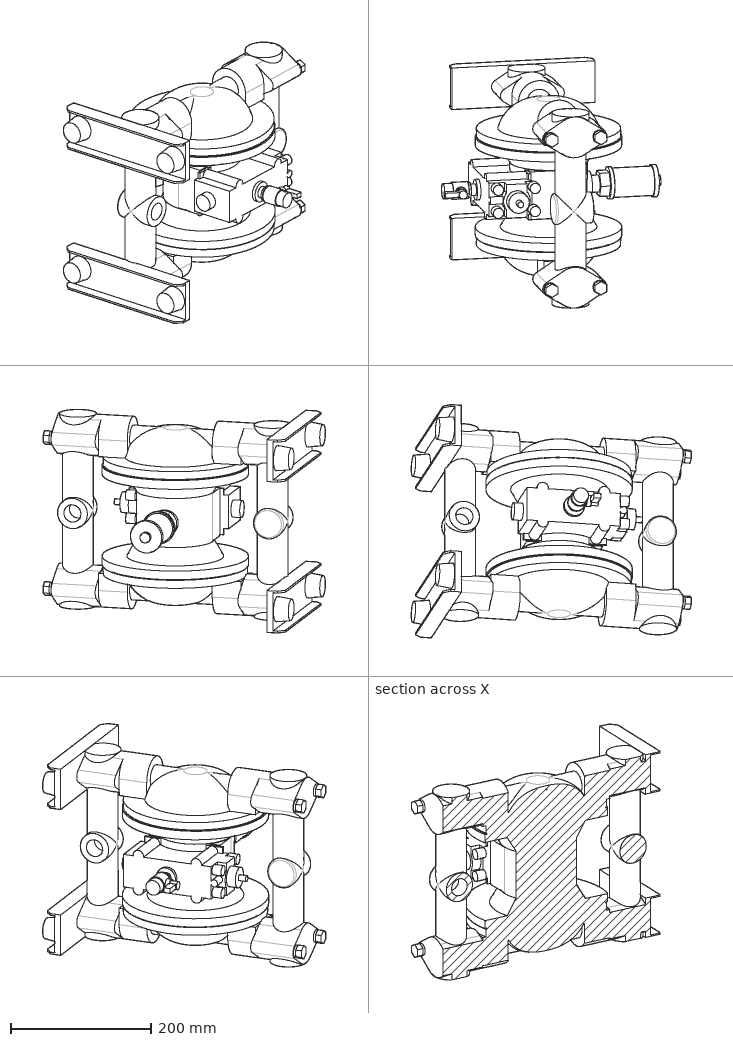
import cadquery as cq
import math



def rod_x(x_start, x_end, radius, y=0.0, z=0.0):
    """Cylinder along X between two stations."""
    return cq.Workplane("YZ", origin=(x_start, y, z)).circle(radius).extrude(x_end - x_start)


def rod_y(y_start, y_end, radius, x=0.0, z=0.0):
    """Cylinder along Y between two stations."""
    return cq.Workplane("XZ", origin=(x, y_start, z)).circle(radius).extrude(y_start - y_end)


def rod_z(z_start, z_end, radius, x=0.0, y=0.0):
    """Cylinder along Z between two stations."""
    return cq.Workplane("XY", origin=(x, y, z_start)).circle(radius).extrude(z_end - z_start)


def block(x_range, y_range, z_range):
    """Axis-aligned box from its three (low, high) ranges."""
    lows, highs = zip(x_range, y_range, z_range)
    sizes = [high - low for low, high in zip(lows, highs)]
    return cq.Workplane("XY").box(*sizes, centered=False).translate(lows)


def mirrored_z(shape):
    return shape.union(shape.mirror("XY"))


BARREL_RADIUS = 55.3
BARREL_HALF_HEIGHT = 35.7
CONE_RADIUS = 69.0
INNER_FLANGE_RADIUS = 104.5
INNER_FLANGE_BOTTOM = 59.6
INNER_FLANGE_TOP = 72.4
GROOVE_WIDTH = 1.0
GROOVE_RADIUS = 101.5
OUTER_FLANGE_RADIUS = 103.0
OUTER_FLANGE_TOP = 85.0
DOME_RADIUS = 72.3
DOME_FLAT_RADIUS = 16.6
DOME_TOP = 127.2

PORT_AXIS_Z = 110.0
MANIFOLD_Y = 144.0
RISER_RADIUS = 22.1
CAP_RADIUS = 26.5
FEED_PIPE_RADIUS = 17.15
ELBOW_RADIUS = 29.8
CAP_TOP = 140.0
ELBOW_INNER_Y = 62.8
HOUSING_INNER_Y = 105.6
HOUSING_OUTER_Y = 171.2
EAR_RADIUS = 10.8
EAR_X = 35.8

PORT_OPEN_LENGTH = 29.4
PORT_PLUG_LENGTH = 25.1
PLUG_FILLET = 2.4
PORT_BORE_RADIUS = 12.5

WASHER_RADIUS = 9.0
WASHER_THICKNESS = 3.2
BOLT_ACROSS_CORNERS = 20.0
BOLT_END_Y = 183.3

CHANNEL_HALF_LENGTH = 104.5
CHANNEL_TOP = 140.5
CHANNEL_WALL = 2.8
CHANNEL_BACK_Y = -164.1
CHANNEL_WEB = 9.3
CHANNEL_EDGE_Y = -189.0
CORNER_CUT_X = 9.5
CORNER_CUT_Y = 9.0
FOOT_X = 84.2
FOOT_BASE_RADIUS = 18.1
FOOT_TIP_RADIUS = 15.4
FOOT_TIP_Y = -194.5

MOUNT_X = 39.2
MOUNT_HALF_HEIGHT = 35.0
VALVE_PLATE_X = 43.0
VALVE_PLATE_HALF_WIDTH = 60.4
VALVE_PLATE_HALF_HEIGHT = 33.6
VALVE_END_X = 102.0
VALVE_HALF_LENGTH = 67.9
VALVE_HALF_HEIGHT = 24.5
SCREW_BARREL_RADIUS = 8.0
SCREW_BARREL_Y = 44.9
SPOOL_X = 64.4
END_CAP_Y = 82.0


def pump_body():
    groove_top = INNER_FLANGE_TOP + GROOVE_WIDTH
    run = DOME_RADIUS - DOME_FLAT_RADIUS
    rise = DOME_TOP - OUTER_FLANGE_TOP
    arc_radius = (run**2 + rise**2) / (2 * rise)
    arc_center_z = DOME_TOP - arc_radius
    half_angle = math.atan2(run, OUTER_FLANGE_TOP - arc_center_z) / 2
    arc_middle = (
        DOME_FLAT_RADIUS + arc_radius * math.sin(half_angle),
        arc_center_z + arc_radius * math.cos(half_angle),
    )
    chamber = (
        cq.Workplane("XZ")
        .moveTo(0, BARREL_HALF_HEIGHT)
        .lineTo(BARREL_RADIUS, BARREL_HALF_HEIGHT)
        .lineTo(CONE_RADIUS, INNER_FLANGE_BOTTOM)
        .lineTo(INNER_FLANGE_RADIUS, INNER_FLANGE_BOTTOM)
        .lineTo(INNER_FLANGE_RADIUS, INNER_FLANGE_TOP)
        .lineTo(GROOVE_RADIUS, INNER_FLANGE_TOP)
        .lineTo(GROOVE_RADIUS, groove_top)
        .lineTo(OUTER_FLANGE_RADIUS, groove_top)
        .lineTo(OUTER_FLANGE_RADIUS, OUTER_FLANGE_TOP)
        .lineTo(DOME_RADIUS, OUTER_FLANGE_TOP)
        .threePointArc(arc_middle, (DOME_FLAT_RADIUS, DOME_TOP))
        .lineTo(0, DOME_TOP)
        .close()
        .revolve(360, (0, 0, 0), (0, 1, 0))
    )
    barrel = rod_z(-BARREL_HALF_HEIGHT, BARREL_HALF_HEIGHT, BARREL_RADIUS)
    return barrel.union(chamber).union(chamber.mirror("XY"))


def ball_housing():
    """Two-eared housing: a circle and two ear circles joined by tangents, along Y."""
    tilt = math.asin((ELBOW_RADIUS - EAR_RADIUS) / EAR_X)
    normal_x = math.sin(tilt)
    normal_z = math.cos(tilt)
    crown_x = ELBOW_RADIUS * normal_x
    crown_z = ELBOW_RADIUS * normal_z
    ear_x = EAR_X + EAR_RADIUS * normal_x
    ear_z = EAR_RADIUS * normal_z
    ear_tip = EAR_X + EAR_RADIUS
    return (
        cq.Workplane("XZ", origin=(0, HOUSING_OUTER_Y, PORT_AXIS_Z))
        .moveTo(crown_x, crown_z)
        .lineTo(ear_x, ear_z)
        .threePointArc((ear_tip, 0), (ear_x, -ear_z))
        .lineTo(crown_x, -crown_z)
        .threePointArc((0, -ELBOW_RADIUS), (-crown_x, -crown_z))
        .lineTo(-ear_x, -ear_z)
        .threePointArc((-ear_tip, 0), (-ear_x, ear_z))
        .lineTo(-crown_x, crown_z)
        .threePointArc((0, ELBOW_RADIUS), (crown_x, crown_z))
        .close()
        .extrude(HOUSING_OUTER_Y - HOUSING_INNER_Y)
    )


def elbow():
    """Arched connection standing on the flange, and the feed pipe into the dome."""
    arch = (
        cq.Workplane("XZ", origin=(0, HOUSING_INNER_Y, 0))
        .moveTo(-ELBOW_RADIUS, OUTER_FLANGE_TOP)
        .lineTo(-ELBOW_RADIUS, PORT_AXIS_Z)
        .threePointArc((0, PORT_AXIS_Z + ELBOW_RADIUS), (ELBOW_RADIUS, PORT_AXIS_Z))
        .lineTo(ELBOW_RADIUS, OUTER_FLANGE_TOP)
        .close()
        .extrude(HOUSING_INNER_Y - ELBOW_INNER_Y)
    )
    feed_pipe = rod_y(0, ELBOW_INNER_Y, FEED_PIPE_RADIUS, z=PORT_AXIS_Z)
    return arch.union(feed_pipe)


def rear_manifold():
    """Manifold on the +Y side: open port toward -X, plugged port toward +X."""
    cap = rod_z(PORT_AXIS_Z, CAP_TOP, CAP_RADIUS, y=MANIFOLD_Y)
    manifold = mirrored_z(elbow().union(ball_housing()).union(cap))
    riser = rod_z(-PORT_AXIS_Z, PORT_AXIS_Z, RISER_RADIUS, y=MANIFOLD_Y)
    cross_port = (
        rod_x(-PORT_OPEN_LENGTH, PORT_PLUG_LENGTH, RISER_RADIUS, y=MANIFOLD_Y)
        .faces(">X")
        .edges()
        .fillet(PLUG_FILLET)
    )
    bore = rod_x(-PORT_OPEN_LENGTH, 0, PORT_BORE_RADIUS, y=MANIFOLD_Y)
    return manifold.union(riser).union(cross_port).cut(bore)


def housing_bolts():
    bolts = cq.Workplane("XY")
    washer_end_y = HOUSING_OUTER_Y + WASHER_THICKNESS
    for side in (-1, 1):
        x = side * EAR_X
        washer = rod_y(HOUSING_OUTER_Y, washer_end_y, WASHER_RADIUS, x=x, z=PORT_AXIS_Z)
        head = (
            cq.Workplane("XZ", origin=(x, BOLT_END_Y, PORT_AXIS_Z))
            .transformed(rotate=(0, 0, 90))
            .polygon(6, BOLT_ACROSS_CORNERS)
            .extrude(BOLT_END_Y - washer_end_y)
        )
        bolts = bolts.union(washer).union(head)
    return mirrored_z(bolts)


def base_channel():
    web_face_y = CHANNEL_BACK_Y - CHANNEL_WEB
    height = 2 * (CHANNEL_TOP - PORT_AXIS_Z)
    channel_bottom = CHANNEL_TOP - height
    cut_x = CHANNEL_HALF_LENGTH - CORNER_CUT_X
    cut_y = CHANNEL_EDGE_Y + CORNER_CUT_Y
    channel = (
        cq.Workplane("XY", origin=(0, 0, channel_bottom))
        .moveTo(-CHANNEL_HALF_LENGTH, CHANNEL_BACK_Y)
        .lineTo(CHANNEL_HALF_LENGTH, CHANNEL_BACK_Y)
        .lineTo(CHANNEL_HALF_LENGTH, cut_y)
        .lineTo(cut_x, CHANNEL_EDGE_Y)
        .lineTo(-cut_x, CHANNEL_EDGE_Y)
        .lineTo(-CHANNEL_HALF_LENGTH, cut_y)
        .close()
        .extrude(height)
    )
    trough = block(
        (-CHANNEL_HALF_LENGTH, CHANNEL_HALF_LENGTH),
        (CHANNEL_EDGE_Y, web_face_y),
        (channel_bottom + CHANNEL_WALL, CHANNEL_TOP - CHANNEL_WALL),
    )
    channel = channel.cut(trough)
    foot_height = web_face_y - FOOT_TIP_Y
    for side in (-1, 1):
        base_center = cq.Vector(side * FOOT_X, web_face_y, PORT_AXIS_Z)
        foot = cq.Solid.makeCone(
            FOOT_BASE_RADIUS, FOOT_TIP_RADIUS, foot_height, base_center, cq.Vector(0, -1, 0)
        )
        channel = channel.union(cq.Workplane(obj=foot))
    return channel


def silencer():
    shoulder_x = -60.0
    neck_x = -72.4
    hex_x = -86.5
    front_ring_x = -92.0
    rear_ring_x = -150.3
    rear_face_x = -156.8
    tip_x = -162.7
    shoulder_radius = 18.7
    neck_radius = 12.3
    ring_radius = 23.2
    can_radius = 21.2
    tip_radius = 7.3
    hex_across_flats = 34.0
    hex_across_corners = hex_across_flats / math.cos(math.pi / 6)
    hex_nut = (
        cq.Workplane("YZ", origin=(hex_x, 0, 0))
        .polygon(6, hex_across_corners)
        .extrude(neck_x - hex_x)
    )
    return (
        rod_x(shoulder_x, 0, shoulder_radius)
        .union(rod_x(neck_x, shoulder_x, neck_radius))
        .union(hex_nut)
        .union(rod_x(front_ring_x, hex_x, ring_radius))
        .union(rod_x(rear_ring_x, front_ring_x, can_radius))
        .union(rod_x(rear_face_x, rear_ring_x, ring_radius))
        .union(rod_x(tip_x, rear_face_x, tip_radius))
    )


def valve_block():
    mount = block(
        (0, MOUNT_X),
        (-BARREL_RADIUS, BARREL_RADIUS),
        (-MOUNT_HALF_HEIGHT, MOUNT_HALF_HEIGHT),
    )
    plate = block(
        (MOUNT_X, VALVE_PLATE_X),
        (-VALVE_PLATE_HALF_WIDTH, VALVE_PLATE_HALF_WIDTH),
        (-VALVE_PLATE_HALF_HEIGHT, VALVE_PLATE_HALF_HEIGHT),
    )
    body = block(
        (MOUNT_X, VALVE_END_X),
        (-VALVE_HALF_LENGTH, VALVE_HALF_LENGTH),
        (-VALVE_HALF_HEIGHT, VALVE_HALF_HEIGHT),
    )
    valve = mount.union(plate).union(body)
    barrel_z = VALVE_PLATE_HALF_HEIGHT - SCREW_BARREL_RADIUS
    for y in (-SCREW_BARREL_Y, SCREW_BARREL_Y):
        for z in (-barrel_z, barrel_z):
            valve = valve.union(rod_x(VALVE_PLATE_X, VALVE_END_X, SCREW_BARREL_RADIUS, y, z))
    return valve


def valve_ends():
    """Plain boss on the -Y end; lobed end cap with a pin and a side stub on the +Y end."""
    plain_boss_end_y = -80.8
    plain_boss_radius = 12.3
    boss_radius = 15.0
    boss_end_y = 95.8
    pin_end_y = 107.0
    pin_radius = 4.3
    collar_radius = 19.5
    lobe_radius = 7.5
    lobe_offset_x = 26.9
    stub_radius = 5.4
    stub_y = 72.5
    lobe_z = 16.9
    ends = rod_y(plain_boss_end_y, -VALVE_HALF_LENGTH, plain_boss_radius, x=SPOOL_X)
    bridge = block(
        (SPOOL_X - boss_radius, SPOOL_X + boss_radius),
        (VALVE_HALF_LENGTH, END_CAP_Y),
        (-VALVE_HALF_HEIGHT, VALVE_HALF_HEIGHT),
    )
    collar = rod_y(VALVE_HALF_LENGTH, END_CAP_Y, collar_radius, x=SPOOL_X)
    ends = ends.union(bridge).union(collar)
    for x in (SPOOL_X - lobe_offset_x, SPOOL_X + lobe_offset_x):
        for z in (-lobe_z, lobe_z):
            ends = ends.union(rod_y(VALVE_HALF_LENGTH, END_CAP_Y, lobe_radius, x, z))
    ends = ends.union(rod_x(SPOOL_X, VALVE_END_X, stub_radius, stub_y))
    ends = ends.union(rod_y(END_CAP_Y, boss_end_y, boss_radius, x=SPOOL_X))
    return ends.union(rod_y(boss_end_y, pin_end_y, pin_radius, x=SPOOL_X))


def inlet_cock():
    flange_end_x = 107.0
    neck_end_x = 114.8
    collar_end_x = 118.3
    body_end_x = 141.2
    outlet_end_x = 153.9
    flange_radius = 14.8
    neck_radius = 8.3
    collar_radius = 11.0
    body_radius = 12.3
    outlet_radius = 11.0
    stem_x = 130.8
    post_radius = 4.0
    stem_radius = 7.8
    hub_radius = 6.0
    hub_top_y = 29.2
    stem_low_y = 12.0
    stem_top_y = 18.5
    cock = (
        rod_x(VALVE_END_X, flange_end_x, flange_radius)
        .union(rod_x(flange_end_x, neck_end_x, neck_radius))
        .union(rod_x(neck_end_x, collar_end_x, collar_radius))
        .union(rod_x(collar_end_x, body_end_x, body_radius))
        .union(rod_x(body_end_x, outlet_end_x, outlet_radius))
        .union(rod_y(0, stem_low_y, post_radius, x=stem_x))
        .union(rod_y(stem_low_y, stem_top_y, stem_radius, x=stem_x))
        .union(rod_y(stem_top_y, hub_top_y, hub_radius, x=stem_x))
    )
    lever_thickness = 7.0
    lever_end_x = 156.62
    lever_bend_x = 151.2
    lever_top_y = 28.0
    lever_low_y = 16.2
    lever_tip_low_y = 18.3
    lever = (
        cq.Workplane("XY", origin=(0, 0, -lever_thickness / 2))
        .moveTo(stem_x, lever_top_y)
        .lineTo(lever_end_x, lever_top_y)
        .lineTo(lever_end_x, lever_tip_low_y)
        .lineTo(lever_bend_x, lever_tip_low_y)
        .lineTo(stem_x, lever_low_y)
        .close()
        .extrude(lever_thickness)
    )
    return cock.union(lever)


rear = rear_manifold()
front = rear.rotate((0, 0, 0), (0, 0, 1), 180)

result = (
    pump_body()
    .union(rear)
    .union(front)
    .union(housing_bolts())
    .union(mirrored_z(base_channel()))
    .union(silencer())
    .union(valve_block())
    .union(valve_ends())
    .union(inlet_cock())
)